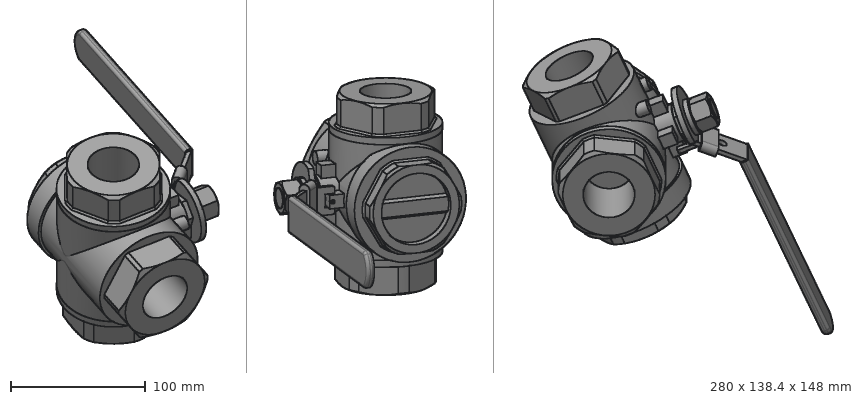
import cadquery as cq
import math


run_diameter = 84.4
run_right = 51.5
branch_diameter = 84.1
branch_ring_diameter = 84.4
branch_half_height = 50.0
branch_ring_height = 5.3
collar_diameter = 88.8
collar_left = -50.7
collar_right = -34.0

branch_reach = 74.0
right_reach = 75.0
branch_hex_flats = 69.0
branch_corner_diameter = 75.2
right_hex_flats = 68.2
right_corner_diameter = 76.8
cap_hex_flats = 68.0
cap_corner_diameter = 73.2
hex_face_diameter = 68.4
hex_chamfer_angle = 30.0
hex_flare = 1.5
hex_flare_angle = 45.0
bore_diameter = 38.2
lower_bore_start = 28.0

cap_left = -63.0
cap_recess_diameter = 55.0
cap_recess_depth = 7.0
cap_bar_width = 11.0
cap_bar_root_width = 15.0
cap_bar_setback = 4.5

stem_collar_diameter = 28.6
stem_collar_top = 56.2
pad_inner = 12.0
pad_outer = 23.4
pad_width = 10.6
pad_top = 53.3
pad_hole_diameter = 3.0
pad_hole_depth = 3.0
pad_hole_y = 51.0
boss_diameter = 10.7
boss_x = 29.5
boss_z = 18.6
boss_top = 44.7
packing_nut_flats = 24.0
packing_nut_turn = 46.0
washer_diameter = 28.0
washer_top = 69.2
washer_split = 2.6
nut_flats = 23.6
nut_top = 84.4
nut_turn = 23.0
nut_face_diameter = 22.6
stem_diameter = 15.7
stem_top = 84.9

plate_bottom = 60.9
plate_top = 65.3
plate_radius = 25.1
plate_shoulder_inner_x = -13.8
plate_shoulder_outer_x = -9.7
plate_neck_fillet = 2.0
lever_thickness = 3.5
lever_width = 25.0
lever_angle = 45.0
grip_left = -205.0
grip_right = -43.0
grip_top = 94.0
grip_thickness = 6.8
grip_middle = grip_top - grip_thickness / 2
grip_width = 28.8
grip_end_bulge = 7.0
grip_corner_radius = 5.0
grip_edge_fillet = 2.5
lever_hole_diameter = 7.6
lever_hole_y = 77.6

sleeve_y = 70.5
sleeve_length = 13.1
sleeve_height = 8.5
sleeve_width = 34.2
tab_left = -19.5
tab_right = -16.3
tab_bottom = 47.8
tab_top = 62.0
tab_width = 21.8
tab_corner_radius = 2.0
tab_slot_top = 55.6

overlap = 2.0
body_depth = 35.0


def cylinder_x(diameter, x_start, x_end):
    return cq.Workplane("YZ", origin=(x_start, 0, 0)).circle(diameter / 2).extrude(x_end - x_start)


def cylinder_y(diameter, y_start, y_end, x=0, z=0):
    plane = cq.Plane(origin=(x, y_start, z), xDir=(1, 0, 0), normal=(0, 1, 0))
    return cq.Workplane(plane).circle(diameter / 2).extrude(y_end - y_start)


def cylinder_z(diameter, z_start, z_end):
    return cq.Workplane("XY", origin=(0, 0, z_start)).circle(diameter / 2).extrude(z_end - z_start)


def box_between(x_range, y_range, z_range):
    sizes = [high - low for low, high in (x_range, y_range, z_range)]
    corner = (x_range[0], y_range[0], z_range[0])
    return cq.Workplane("XY").box(*sizes, centered=False).translate(corner)


def corner_diameter(flats):
    return flats / math.cos(math.radians(30))


def hex_prism_y(flats, y_start, y_end):
    plane = cq.Plane(origin=(0, y_start, 0), xDir=(1, 0, 0), normal=(0, 1, 0))
    return cq.Workplane(plane).polygon(6, corner_diameter(flats)).extrude(y_end - y_start)


def turned_blank(plane, radius, length, face_radius, angle):
    """Cylinder along the plane normal, its far end coned down to face_radius."""
    drop = (radius - face_radius) * math.tan(math.radians(angle))
    profile = [(0, 0), (radius, 0), (radius, length - drop), (face_radius, length), (0, length)]
    blank_plane = cq.Plane(origin=plane.origin, xDir=plane.xDir, normal=plane.xDir.cross(plane.zDir))
    return cq.Workplane(blank_plane).polyline(profile).close().revolve(360, (0, 0), (0, 1))


def hex_end(origin, normal, corner_axis, length, flats, corners, flared=True):
    """Hexagon with turned corners; it starts at origin and points along normal."""
    plane = cq.Plane(origin=origin, xDir=corner_axis, normal=normal)
    blank = turned_blank(plane, corners / 2, length, hex_face_diameter / 2, hex_chamfer_angle)
    prism = cq.Workplane(plane).polygon(6, corner_diameter(flats)).extrude(length).intersect(blank)
    if flared:
        wide_hex = corner_diameter(flats + 2 * hex_flare)
        skirt = cq.Workplane(plane).polygon(6, wide_hex).extrude(hex_flare, taper=hex_flare_angle)
        cone = cq.Workplane(plane).circle(corners / 2 + hex_flare).extrude(hex_flare, taper=hex_flare_angle)
        prism = prism.union(skirt.intersect(cone))
    return prism


def make_body():
    ring_start = branch_half_height - branch_ring_height
    body = cylinder_x(run_diameter, collar_right, run_right)
    body = body.union(cylinder_x(collar_diameter, collar_left, collar_right))
    body = body.union(cylinder_z(branch_diameter, -ring_start, ring_start))
    for low, high in ((-branch_half_height, -ring_start), (ring_start, branch_half_height)):
        body = body.union(cylinder_z(branch_ring_diameter, low, high))
    return body


def make_port_ends():
    branch_length = branch_reach - branch_half_height
    upper = hex_end((0, 0, branch_half_height), (0, 0, 1), (0, 1, 0), branch_length,
                    branch_hex_flats, branch_corner_diameter)
    lower = hex_end((0, 0, -branch_half_height), (0, 0, -1), (1, 0, 0), branch_length,
                    branch_hex_flats, branch_corner_diameter)
    right = hex_end((run_right, 0, 0), (1, 0, 0), (0, 1, 0), right_reach - run_right,
                    right_hex_flats, right_corner_diameter, flared=False)
    return upper.union(lower).union(right)


def make_cap():
    cap = hex_end((collar_left, 0, 0), (-1, 0, 0), (0, 1, 0), collar_left - cap_left,
                  cap_hex_flats, cap_corner_diameter)
    floor_x = cap_left + cap_recess_depth
    recess = cylinder_x(cap_recess_diameter, cap_left, floor_x)
    crest_x = cap_left + cap_bar_setback
    half_crest = cap_bar_width / 2
    half_root = cap_bar_root_width / 2
    section = [(floor_x, -half_root), (crest_x, -half_crest), (crest_x, half_crest), (floor_x, half_root)]
    bar = cq.Workplane("XZ").polyline(section).close().extrude(cap_recess_diameter / 2, both=True)
    return cap.cut(recess.cut(bar))


def make_bores():
    bores = cylinder_x(bore_diameter, -bore_diameter / 2, right_reach)
    bores = bores.union(cylinder_z(bore_diameter, 0, branch_reach))
    return bores.union(cylinder_z(bore_diameter, -branch_reach, -lower_bore_start))


def make_pads_and_bosses():
    pad = box_between((pad_inner, pad_outer), (body_depth, pad_top), (-pad_width / 2, pad_width / 2))
    group = cylinder_y(stem_collar_diameter, body_depth, stem_collar_top)
    for quarter in range(4):
        group = group.union(pad.rotate((0, 0, 0), (0, 1, 0), 90 * quarter))
    for side in (-1, 1):
        group = group.union(cylinder_y(boss_diameter, 0, boss_top, boss_x, side * boss_z))
    pad_hole = cylinder_x(pad_hole_diameter, -pad_outer, pad_hole_depth - pad_outer)
    return group.cut(pad_hole.translate((0, pad_hole_y, 0)))


def make_nut_and_washers():
    washers = cylinder_y(washer_diameter, plate_bottom, washer_top)
    split = box_between((-washer_split / 2, washer_split / 2), (plate_top, washer_top),
                        (stem_diameter / 2, washer_diameter))
    corner_radius = corner_diameter(nut_flats) / 2
    half_height = (nut_top - washer_top) / 2
    packing_nut = hex_prism_y(packing_nut_flats, stem_collar_top, plate_bottom)
    packing_nut = packing_nut.rotate((0, 0, 0), (0, 1, 0), packing_nut_turn)
    nut = hex_prism_y(nut_flats, washer_top, nut_top)
    half_plane = cq.Plane(origin=(0, nut_top - half_height, 0), xDir=(1, 0, 0), normal=(0, 1, 0))
    upper_blank = turned_blank(half_plane, corner_radius, half_height,
                               nut_face_diameter / 2, hex_chamfer_angle)
    nut = nut.intersect(upper_blank.union(upper_blank.mirror("XZ", half_plane.origin.toTuple())))
    nut = nut.rotate((0, 0, 0), (0, 1, 0), nut_turn)
    stem = cylinder_y(stem_diameter, washer_top - overlap, stem_top)
    return washers.cut(split).union(packing_nut).union(nut).union(stem)


def ramp_x(y):
    """X of the middle line of the inclined part of the lever at height y."""
    return grip_right + (grip_middle - y) / math.tan(math.radians(lever_angle))


def make_lever():
    plate_middle = (plate_bottom + plate_top) / 2
    bend_x = ramp_x(plate_middle)
    inner_z = lever_width / 2
    outer_z = math.sqrt(plate_radius ** 2 - plate_shoulder_outer_x ** 2)
    plane = cq.Plane(origin=(0, plate_bottom, 0), xDir=(1, 0, 0), normal=(0, -1, 0))
    plate = (
        cq.Workplane(plane)
        .moveTo(bend_x, -inner_z)
        .lineTo(plate_shoulder_inner_x, -inner_z)
        .lineTo(plate_shoulder_outer_x, -outer_z)
        .threePointArc((plate_radius, 0), (plate_shoulder_outer_x, outer_z))
        .lineTo(plate_shoulder_inner_x, inner_z)
        .lineTo(bend_x, inner_z)
        .close()
        .extrude(plate_bottom - plate_top)
    )
    for side in (-1, 1):
        corner = (plate_shoulder_inner_x, plate_middle, side * inner_z)
        plate = plate.edges(cq.selectors.NearestToPointSelector(corner)).fillet(plate_neck_fillet)

    rise = lever_thickness / 2 / math.cos(math.radians(lever_angle))
    slope = [(bend_x + overlap, plate_middle - overlap), (grip_right, grip_middle)]
    upper_edge = [(x, y + rise) for x, y in slope]
    lower_edge = [(x, y - rise) for x, y in slope]
    ramp_outline = upper_edge + lower_edge[::-1]
    ramp = cq.Workplane("XY").polyline(ramp_outline).close().extrude(lever_width / 2, both=True)
    hole_x = ramp_x(lever_hole_y)
    hole = cylinder_y(lever_hole_diameter, -sleeve_length, sleeve_length)
    hole = hole.rotate((0, 0, 0), (0, 0, 1), -lever_angle).translate((hole_x, lever_hole_y, 0))
    return plate.union(ramp).cut(hole).union(make_grip())


def make_grip():
    half_width = grip_width / 2
    arc_start = grip_left + grip_end_bulge
    plane = cq.Plane(origin=(0, grip_top, 0), xDir=(1, 0, 0), normal=(0, -1, 0))
    grip = (
        cq.Workplane(plane)
        .moveTo(grip_right, half_width)
        .lineTo(arc_start, half_width)
        .threePointArc((grip_left, 0), (arc_start, -half_width))
        .lineTo(grip_right, -half_width)
        .close()
        .extrude(grip_thickness)
    )
    grip = grip.edges("|Y").edges("<X").fillet(grip_corner_radius)
    return grip.faces("<Y or >Y").edges("not >X").fillet(grip_edge_fillet)


def make_lock_sleeve():
    sleeve_x = ramp_x(sleeve_y)
    plane = cq.Plane(origin=(-sleeve_length / 2, 0, 0), xDir=(0, 0, 1), normal=(1, 0, 0))
    sleeve = cq.Workplane(plane).slot2D(sleeve_width, sleeve_height).extrude(sleeve_length)
    sleeve = sleeve.rotate((0, 0, 0), (0, 0, 1), -lever_angle).translate((sleeve_x, sleeve_y, 0))

    tab = box_between((tab_left, tab_right), (tab_bottom, tab_top), (-tab_width / 2, tab_width / 2))
    tab = tab.edges("|X and <Y").fillet(tab_corner_radius)
    slot = box_between((tab_left, tab_right), (tab_bottom, tab_slot_top), (-pad_width / 2, pad_width / 2))
    return sleeve.union(tab.cut(slot))


valve = make_body().union(make_port_ends()).union(make_cap())
valve = valve.union(make_pads_and_bosses()).cut(make_bores())
valve = valve.union(make_nut_and_washers()).union(make_lever())
result = valve.union(make_lock_sleeve())